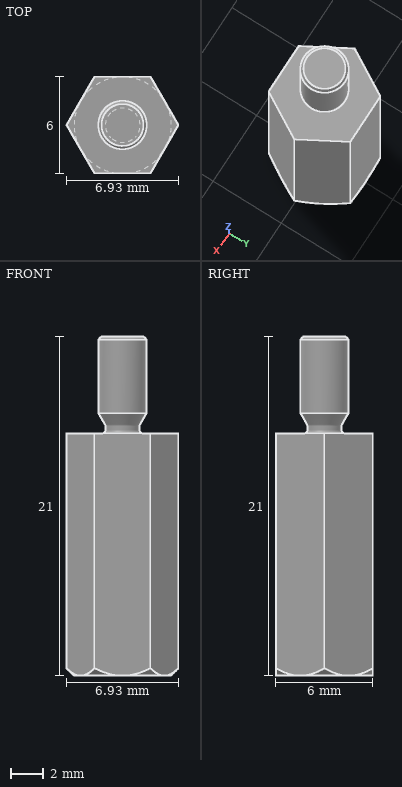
import cadquery as cq
import math

across_flats = 6.0
across_corners = across_flats / math.cos(math.radians(30))
body_length = 15.0
bottom_flat_radius = across_flats / 2

stud_diameter = 3.0
stud_length = 6.0
stud_chamfer = 0.2
neck_diameter = 2.13
neck_fillet = 0.2
run_out_end = 1.25
run_out_half_angle = math.radians(30)

stud_radius = stud_diameter / 2
neck_radius = neck_diameter / 2
stud_tip = body_length + stud_length


def hex_body():
    """Hexagonal prism, its lower corners turned off by a 45 degree cone."""
    prism = cq.Workplane("XY").polygon(6, across_corners).extrude(body_length)
    cone_top_radius = bottom_flat_radius + body_length
    turning_cone = (
        cq.Workplane("XZ")
        .lineTo(bottom_flat_radius, 0)
        .lineTo(cone_top_radius, body_length)
        .lineTo(0, body_length)
        .close()
        .revolve(360, (0, 0, 0), (0, 1, 0))
    )
    return prism.intersect(turning_cone)


def fillet_point(center_height, angle):
    """(radius, height) on a neck fillet; the angle rises from the neck's tangent point."""
    center_radius = neck_radius + neck_fillet
    return (
        center_radius - neck_fillet * math.cos(angle),
        center_height + neck_fillet * math.sin(angle),
    )


def stud():
    """Turned stud: filleted neck, run-out cone, plain shank and chamfered tip."""
    lower_center = body_length + neck_fillet
    lower_start = fillet_point(lower_center, -math.pi / 2)
    lower_middle = fillet_point(lower_center, -math.pi / 4)
    lower_end = fillet_point(lower_center, 0)

    cone_top = body_length + run_out_end
    cone_start_radius, cone_start_rise = fillet_point(0, run_out_half_angle)
    cone_height = (stud_radius - cone_start_radius) / math.tan(run_out_half_angle)
    upper_center = cone_top - cone_height - cone_start_rise
    upper_start = fillet_point(upper_center, 0)
    upper_middle = fillet_point(upper_center, run_out_half_angle / 2)
    upper_end = fillet_point(upper_center, run_out_half_angle)

    profile = (
        cq.Workplane("XZ")
        .moveTo(0, body_length)
        .lineTo(*lower_start)
        .threePointArc(lower_middle, lower_end)
        .lineTo(*upper_start)
        .threePointArc(upper_middle, upper_end)
        .lineTo(stud_radius, cone_top)
        .lineTo(stud_radius, stud_tip - stud_chamfer)
        .lineTo(stud_radius - stud_chamfer, stud_tip)
        .lineTo(0, stud_tip)
        .close()
    )
    return profile.revolve(360, (0, 0, 0), (0, 1, 0))


result = hex_body().union(stud())